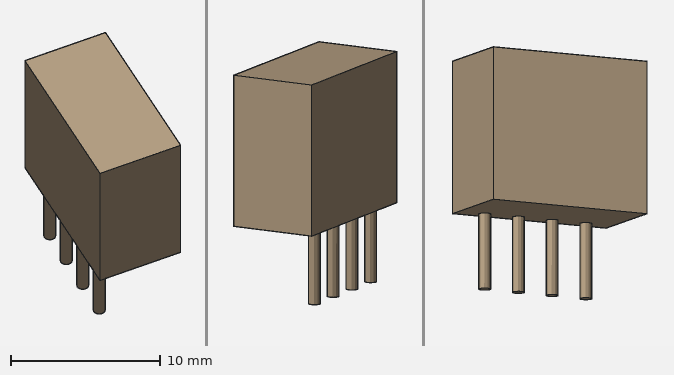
import cadquery as cq

housing_width = 11.6
housing_depth = 6.0
overall_height = 15.51
pin_length = 5.12
housing_height = overall_height - pin_length

pin_count = 4
pin_diameter = 0.8
pin_pitch = 2.55
pin_front_offset = 0.9


def make_housing():
    """Plain block standing on the XY plane, centred in X and Y."""
    return cq.Workplane("XY").box(
        housing_width, housing_depth, housing_height, centered=(True, True, False)
    )


def make_pin(x, y):
    """Round pin hanging down from the underside of the housing."""
    return cq.Workplane("XY").center(x, y).circle(pin_diameter / 2).extrude(-pin_length)


housing = make_housing()

pin_row_y = pin_front_offset - housing_depth / 2
first_pin_x = -pin_pitch * (pin_count - 1) / 2
pins = []
for index in range(pin_count):
    pin = make_pin(first_pin_x + index * pin_pitch, pin_row_y)
    pins.append(pin.val())

result = cq.Compound.makeCompound([housing.val(), *pins])